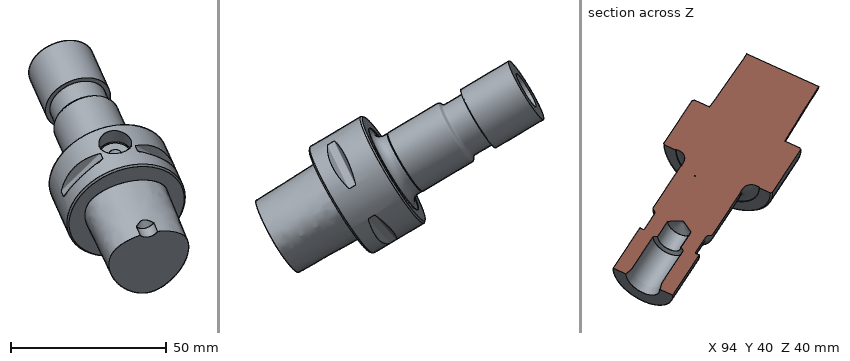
import cadquery as cq
import math

overall_length = 94.0
collar_end = 18.05
neck_end = 25.0
shank_end = 45.6
fillet_start = 47.1
flange_start = 50.0
flange_end = 70.1

shank_diameter = 22.0
neck_diameter = 19.0
relief_diameter = 21.8
flange_diameter = 40.0
flange_chamfer = 0.6
shank_radius = shank_diameter / 2
neck_radius = neck_diameter / 2
relief_radius = relief_diameter / 2
flange_radius = flange_diameter / 2
shoulder_radius = 1.0
shoulder_angle = math.radians(60)
relief_step_length = 0.3

root_fillet_radius = 3.2
recess_radius = 15.3

bore_diameter = 11.0
bore_mouth_diameter = 12.4
bore_mouth_depth = 2.6
bore_shoulder_depth = 16.9
bore_pilot_diameter = 8.5
bore_depth = 24.4
drill_half_angle = 59.0

radial_hole_x = 58.0
radial_hole_diameter = 10.0
radial_hole_mouth_diameter = 10.5
radial_hole_floor = 14.6
radial_floor_chamfer = 0.3
dimple_diameter = 4.0

groove_x = 62.0
groove_floor_width = 2.5
groove_corner_radius = 0.4
groove_floor_radius = 17.7
groove_flank_angle = 31.0
groove_count = 4

lobe_base_radius = 14.1
lobe_height = 0.8
taper_ratio = 20.0
lobe_points = 48

keyway_diameter = 7.0
keyway_start = 89.9
keyway_axis_height = 14.4


def turned_body():
    """Collar, neck, shank, root fillet and flange revolved about X."""
    arc_middle = root_fillet_radius * math.sqrt(0.5)
    fillet_center_radius = relief_radius + root_fillet_radius
    shoulder_arc_run = shoulder_radius * math.sin(shoulder_angle)
    shoulder_arc_rise = shoulder_radius * (1 - math.cos(shoulder_angle))
    cone_rise = shank_radius - neck_radius - 2 * shoulder_arc_rise
    cone_start = neck_end + shoulder_arc_run
    cone_end = cone_start + cone_rise / math.tan(shoulder_angle)
    shank_start = cone_end + shoulder_arc_run
    return (
        cq.Workplane("XY")
        .moveTo(0, 0)
        .lineTo(0, shank_radius)
        .lineTo(collar_end, shank_radius)
        .lineTo(collar_end, neck_radius)
        .lineTo(neck_end, neck_radius)
        .tangentArcPoint((cone_start, neck_radius + shoulder_arc_rise), relative=False)
        .lineTo(cone_end, shank_radius - shoulder_arc_rise)
        .tangentArcPoint((shank_start, shank_radius), relative=False)
        .lineTo(shank_end, shank_radius)
        .lineTo(shank_end + relief_step_length, relief_radius)
        .lineTo(fillet_start, relief_radius)
        .threePointArc(
            (fillet_start + arc_middle, fillet_center_radius - arc_middle),
            (fillet_start + root_fillet_radius, fillet_center_radius),
        )
        .lineTo(fillet_start + root_fillet_radius, recess_radius)
        .lineTo(flange_start, recess_radius)
        .lineTo(flange_start, flange_radius - flange_chamfer)
        .lineTo(flange_start + flange_chamfer, flange_radius)
        .lineTo(flange_end - flange_chamfer, flange_radius)
        .lineTo(flange_end, flange_radius - flange_chamfer)
        .lineTo(flange_end, 0)
        .close()
        .revolve(360, (0, 0, 0), (1, 0, 0))
    )


def lobe_outline(base_radius):
    """Points of a constant-width trilobe given by its support function."""
    points = []
    for index in range(lobe_points):
        angle = 2 * math.pi * index / lobe_points
        support = base_radius + lobe_height * math.sin(3 * angle)
        slope = 3 * lobe_height * math.cos(3 * angle)
        y = support * math.cos(angle) - slope * math.sin(angle)
        z = support * math.sin(angle) + slope * math.cos(angle)
        points.append((y, z))
    return points


def tapered_shank():
    length = overall_length - flange_end
    end_radius = lobe_base_radius - length / taper_ratio / 2
    return (
        cq.Workplane("YZ", origin=(flange_end, 0, 0))
        .spline(lobe_outline(lobe_base_radius), periodic=True)
        .close()
        .workplane(offset=length)
        .spline(lobe_outline(end_radius), periodic=True)
        .close()
        .loft(ruled=True)
    )


def drill_tip(radius):
    return radius / math.tan(math.radians(drill_half_angle))


def nose_bore():
    mouth_radius = bore_mouth_diameter / 2
    bore_radius = bore_diameter / 2
    pilot_radius = bore_pilot_diameter / 2
    return (
        cq.Workplane("XY")
        .moveTo(0, 0)
        .lineTo(0, mouth_radius)
        .lineTo(bore_mouth_depth, bore_radius)
        .lineTo(bore_shoulder_depth, bore_radius)
        .lineTo(bore_shoulder_depth + drill_tip(bore_radius - pilot_radius), pilot_radius)
        .lineTo(bore_depth, pilot_radius)
        .lineTo(bore_depth + drill_tip(pilot_radius), 0)
        .close()
        .revolve(360, (0, 0, 0), (1, 0, 0))
    )


def radial_hole():
    mouth_radius = radial_hole_mouth_diameter / 2
    floor_radius = radial_hole_diameter / 2
    dimple_radius = dimple_diameter / 2
    return (
        cq.Workplane("XZ")
        .moveTo(0, flange_radius)
        .lineTo(mouth_radius, flange_radius)
        .lineTo(mouth_radius, radial_hole_floor + radial_floor_chamfer)
        .lineTo(floor_radius, radial_hole_floor)
        .lineTo(dimple_radius, radial_hole_floor)
        .lineTo(0, radial_hole_floor - drill_tip(dimple_radius))
        .close()
        .revolve(360, (0, 0, 0), (0, 1, 0))
        .translate((radial_hole_x, 0, 0))
    )


def gripper_groove(angle):
    """Straight trapezoidal groove whose flat floor is a chord of the flange."""
    depth = flange_radius - groove_floor_radius
    floor_half = groove_floor_width / 2
    mouth_half = floor_half + depth * math.tan(math.radians(groove_flank_angle))
    return (
        cq.Workplane("XZ")
        .moveTo(groove_x - floor_half, groove_floor_radius)
        .lineTo(groove_x + floor_half, groove_floor_radius)
        .lineTo(groove_x + mouth_half, flange_radius)
        .lineTo(groove_x - mouth_half, flange_radius)
        .close()
        .extrude(flange_radius, both=True)
        .edges("|Y and <Z")
        .fillet(groove_corner_radius)
        .rotate((0, 0, 0), (1, 0, 0), angle)
    )


def keyway():
    """Round-bottomed keyway along X, ending in a 45 degree cone."""
    radius = keyway_diameter / 2
    return (
        cq.Workplane("XY")
        .moveTo(keyway_start - radius, 0)
        .lineTo(keyway_start, radius)
        .lineTo(overall_length, radius)
        .lineTo(overall_length, 0)
        .close()
        .revolve(360, (0, 0, 0), (1, 0, 0))
        .translate((0, 0, keyway_axis_height))
    )


result = turned_body().union(tapered_shank())
result = result.cut(nose_bore()).cut(radial_hole()).cut(keyway())
for groove_index in range(groove_count):
    groove_angle = (groove_index + 0.5) * 360 / groove_count
    result = result.cut(gripper_groove(groove_angle))